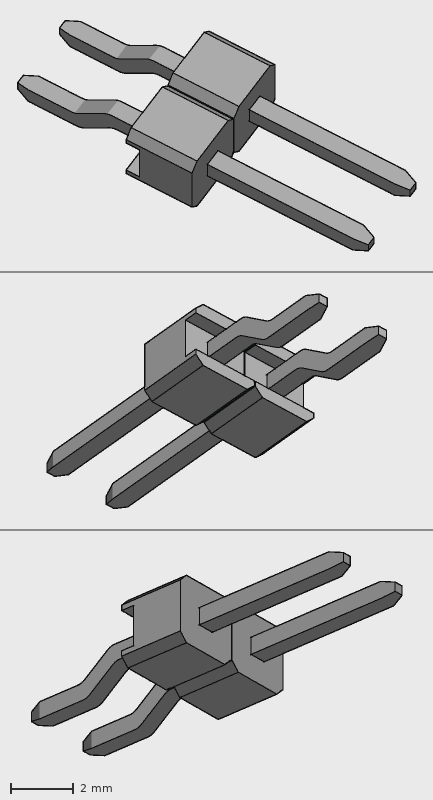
import cadquery as cq
import math


housing_size = 2.5
housing_start = 4.79
housing_chamfer = 0.3
notch_depth = 0.5
lip_height = 0.5
pitch = 2.54
position_count = 2

pin_length = 13.3
pin_size = 0.64
tip_length = 0.49
tip_size = 0.35
bend_start = 2.27
bend_run = 1.24
bend_radius = 0.5

pin_height = housing_size / 2
low_height = pin_size / 2
bend_angle = math.atan2(pin_height - low_height, bend_run)
bend_shift = pin_size * math.tan(bend_angle / 2)


def make_housing(y):
    """Block with chamfered long edges, a notch across one end and a square pin hole."""
    middle = housing_start + housing_size / 2
    block = (
        cq.Workplane("XY")
        .box(housing_size, housing_size, housing_size)
        .edges("|X")
        .chamfer(housing_chamfer)
        .translate((middle, y, pin_height))
    )
    notch = cq.Workplane("XY").box(
        notch_depth, housing_size, housing_size - 2 * lip_height
    ).translate((housing_start + notch_depth / 2, y, pin_height))
    hole = cq.Workplane("XY").box(housing_size, pin_size, pin_size).translate((middle, y, pin_height))
    return block.cut(notch).cut(hole)


def make_tip(x_base, x_end, y, z):
    """Tapered square point from the full section at x_base to the small end at x_end."""
    return (
        cq.Workplane("YZ", origin=(x_base, y, z))
        .rect(pin_size, pin_size)
        .workplane(offset=x_end - x_base)
        .rect(tip_size, tip_size)
        .loft(ruled=True)
    )


def make_pin(y):
    """Square pin with a double bend near the low end and a tapered tip at both ends."""
    shaft_start = tip_length
    shaft_end = pin_length - tip_length
    bend_end = bend_start + bend_run
    upper_bottom = pin_height - pin_size / 2
    upper_top = pin_height + pin_size / 2
    shaft = (
        cq.Workplane("XZ", origin=(0, y, 0))
        .moveTo(shaft_start, 0)
        .lineTo(bend_start + bend_shift, 0)
        .lineTo(bend_end + bend_shift, upper_bottom)
        .lineTo(shaft_end, upper_bottom)
        .lineTo(shaft_end, upper_top)
        .lineTo(bend_end, upper_top)
        .lineTo(bend_start, pin_size)
        .lineTo(shaft_start, pin_size)
        .close()
        .extrude(pin_size / 2, both=True)
    )
    bend_zone = cq.selectors.BoxSelector(
        (shaft_start + pin_size, y - pin_size, -pin_size),
        (housing_start, y + pin_size, housing_size),
    )
    shaft = shaft.edges("|Y").edges(bend_zone).fillet(bend_radius)
    low_tip = make_tip(shaft_start, 0, y, low_height)
    straight_tip = make_tip(shaft_end, pin_length, y, pin_height)
    return shaft.union(low_tip).union(straight_tip)


bodies = []
for position in range(position_count):
    y = (position - (position_count - 1) / 2) * pitch
    bodies.append(make_housing(y).solids().val())
    bodies.append(make_pin(y).solids().val())

result = cq.Compound.makeCompound(bodies)